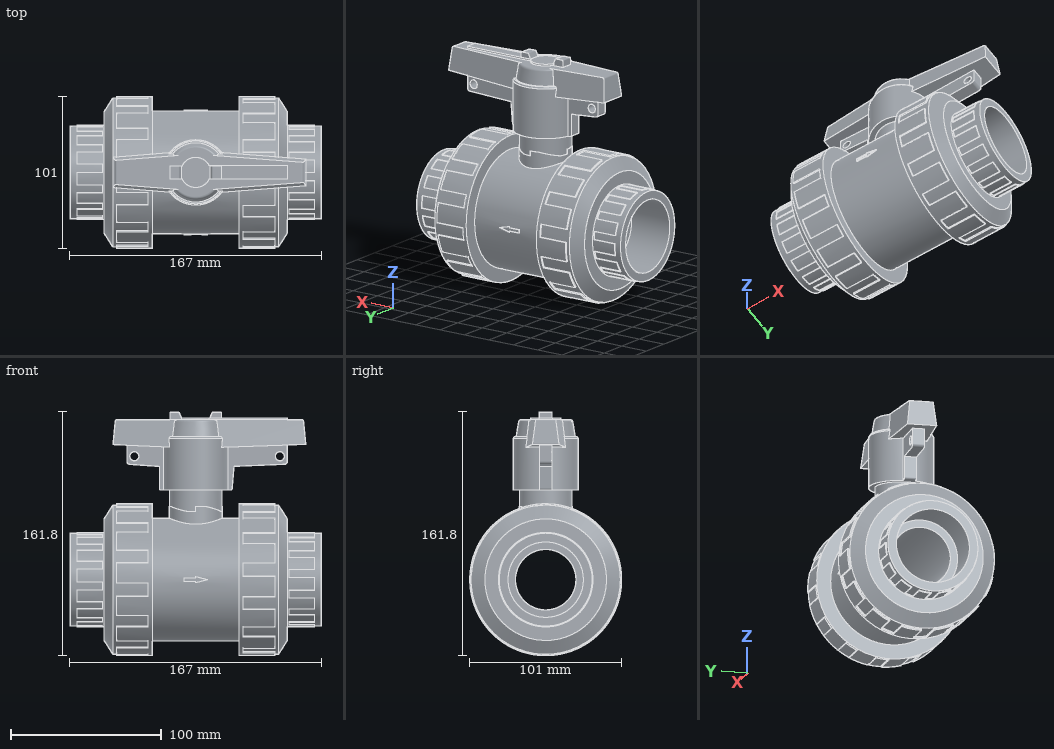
import cadquery as cq
import math


nut_grip_diameter = 101.0
overall_height = 161.8

half_length = 83.5
bore_radius = 20.0
socket_radius = 25.0
socket_depth = 31.0
body_radius = 40.9

nut_inner_x = 28.7
nut_cone_x = 55.1
nut_outer_x = 61.0
nut_radius = 49.6
nut_face_radius = 40.4
nut_grip_radius = nut_grip_diameter / 2
nut_band_end_x = 31.5
nut_tooth_end_x = 52.6

fitting_radius = 30.9
fitting_grip_radius = 31.4
fitting_band_end_x = 62.0
fitting_tooth_end_x = 79.0

tooth_count = 14
tooth_pitch = 360.0 / tooth_count
tooth_angle = 15.6
tooth_phase = 5.2

overlap = 1.7

arrow_height = 0.5
arrow_radius = body_radius + arrow_height
arrow_half_length = 7.8
arrow_shaft_half = 1.2
arrow_head_half = 2.0

stem_radius = 17.5
collar_radius = 17.7
collar_low_z = 45.5
collar_high_z = 48.8
collar_step_count = 4
collar_flat_angle = 20.0

hub_radius = 21.7
hub_bottom_z = 59.5
hub_top_z = 95.2
hub_chamfer_width = 0.8
hub_chamfer_height = 1.3
hub_shoulder_z = hub_top_z - hub_chamfer_height
cone_bottom_radius = 19.7
cone_top_radius = 17.9
cone_fillet = 1.8

bar_top_z = 106.4
bar_mid_bottom_z = 87.3
bar_left_bottom_z = 89.7
bar_right_bottom_z = 89.8
bar_left_x = -55.0
bar_right_x = 73.1
bar_end_lean = 1.5
bar_end_overhang = 0.3
bar_corner_radius = 1.3
bar_bottom_half_mid = 14.5
bar_bottom_half_left = 10.4
bar_bottom_half_right = 9.2
bar_top_half_mid = 12.2
bar_top_half_left = 8.0
bar_top_half_right = 6.7

raised_height = 1.2
disc_radius = 10.0
strip_end_x = 61.0
strip_half_width = 4.5
stop_top_z = overall_height - nut_grip_radius
stop_outer_x = 17.2
stop_top_inner_x = 11.0
stop_foot_inner_x = 9.4
stop_half_width = 4.3
stop_corner_radius = 0.8

fin_half_width = 4.2
fin_left_x = -45.8
fin_right_x = 61.0
fin_end_z = 76.7
fin_root_z = 75.2
fin_corner_radius = 2.0
skirt_half_length = 24.2
skirt_right_lean = 1.3
skirt_corner_radius = 1.3
pin_hole_diameter = 5.8
pin_hole_z = 82.0
pin_hole_inset = 5.0


def x_cylinder(radius, x_start, x_end):
    """Cylinder about the X axis between two X positions."""
    return cq.Workplane("YZ").workplane(offset=x_start).circle(radius).extrude(x_end - x_start)


def z_cylinder(radius, z_start, z_end):
    """Cylinder about the Z axis between two heights."""
    return cq.Workplane("XY").workplane(offset=z_start).circle(radius).extrude(z_end - z_start)


def plate_y(points, half_width):
    """Plate with an XZ outline, centred on y = 0."""
    return cq.Workplane("XZ").polyline(points).close().extrude(half_width, both=True)


def grip_teeth(inner_radius, outer_radius, x_start, x_end):
    """Ring of raised teeth around the X axis."""
    wedge_depth = outer_radius + overlap
    wedge_half_width = wedge_depth * math.tan(math.radians(tooth_angle / 2))
    wedge = (
        cq.Workplane("YZ")
        .workplane(offset=x_start)
        .polyline([(0, 0), (-wedge_depth, -wedge_half_width), (-wedge_depth, wedge_half_width)])
        .close()
        .extrude(x_end - x_start)
    )
    wedges = cq.Workplane("XY")
    for index in range(tooth_count):
        angle = tooth_phase + index * tooth_pitch
        wedges = wedges.add(wedge.rotate((0, 0, 0), (1, 0, 0), angle))
    ring = x_cylinder(outer_radius, x_start, x_end).cut(x_cylinder(inner_radius, x_start, x_end))
    return ring.intersect(wedges.combine())


def make_right_end():
    """Nut and end fitting on the +X side."""
    nut_outline = [
        (nut_inner_x, 0),
        (nut_inner_x, nut_radius),
        (nut_cone_x, nut_radius),
        (nut_outer_x, nut_face_radius),
        (nut_outer_x, 0),
    ]
    end = cq.Workplane("XY").polyline(nut_outline).close().revolve(360, (0, 0, 0), (1, 0, 0))
    end = end.union(x_cylinder(nut_grip_radius, nut_inner_x, nut_band_end_x))
    end = end.union(grip_teeth(nut_radius - overlap, nut_grip_radius, nut_inner_x, nut_tooth_end_x))
    end = end.union(x_cylinder(fitting_radius, nut_cone_x, half_length))
    end = end.union(x_cylinder(fitting_grip_radius, nut_cone_x, fitting_band_end_x))
    fitting_teeth = grip_teeth(
        fitting_radius - overlap, fitting_grip_radius, nut_cone_x, fitting_tooth_end_x
    )
    return end.union(fitting_teeth)


def make_arrows():
    """Flow arrow standing just proud of the body, pointing to +X on both sides."""
    head = [(0, -arrow_head_half), (arrow_half_length, 0), (0, arrow_head_half)]
    shaft = [
        (0, arrow_shaft_half),
        (-arrow_half_length, arrow_shaft_half),
        (-arrow_half_length, -arrow_shaft_half),
        (0, -arrow_shaft_half),
    ]
    prism = plate_y(head + shaft, arrow_radius + overlap)
    return prism.intersect(x_cylinder(arrow_radius, -arrow_half_length, arrow_half_length))


def make_stem():
    """Stem and the foot collar, whose rim steps up and ramps down once per quarter turn."""
    sector = 360.0 / collar_step_count
    edge = collar_radius * math.sin(math.radians(sector / 2))
    flat_edge = collar_radius * math.sin(math.radians(sector / 2 - collar_flat_angle))
    reach = 2 * edge
    rim = [
        (-edge, 0),
        (-edge, collar_high_z),
        (-flat_edge, collar_high_z),
        (flat_edge, collar_low_z),
        (edge, collar_low_z),
        (edge, 0),
    ]
    wedge_plan = [(0, 0), (-edge, -edge), (-edge, -reach), (edge, -reach), (edge, -edge)]
    wedge = cq.Workplane("XY").polyline(wedge_plan).close().extrude(collar_high_z)
    wedge = wedge.intersect(cq.Workplane("XZ").polyline(rim).close().extrude(reach))
    wedge = wedge.intersect(z_cylinder(collar_radius, 0, collar_high_z))
    stem = z_cylinder(stem_radius, 0, hub_top_z)
    for index in range(collar_step_count):
        stem = stem.union(wedge.rotate((0, 0, 0), (0, 0, 1), sector * (index + 0.5)))
    return stem


def make_hub():
    """Cylindrical hub with a chamfered shoulder and a tapered cap."""
    outline = [
        (0, hub_bottom_z),
        (hub_radius, hub_bottom_z),
        (hub_radius, hub_shoulder_z),
        (hub_radius - hub_chamfer_width, hub_top_z),
        (cone_bottom_radius, hub_top_z),
        (cone_top_radius, bar_top_z),
        (0, bar_top_z),
    ]
    hub = cq.Workplane("XZ").polyline(outline).close().revolve(360, (0, 0, 0), (0, 1, 0))
    return hub.faces(">Z").edges().fillet(cone_fillet)


def bar_plan(left_x, right_x, half_left, half_mid, half_right):
    """Six-sided plan of the handle bar, widest at the hub."""
    return [
        (left_x, -half_left),
        (0, -half_mid),
        (right_x, -half_right),
        (right_x, half_right),
        (0, half_mid),
        (left_x, half_left),
    ]


def make_bar():
    """Tapered handle bar with rounded top ends and an underside rising outwards."""
    bottom_plan = bar_plan(
        bar_left_x - bar_end_overhang,
        bar_right_x + bar_end_overhang,
        bar_bottom_half_left,
        bar_bottom_half_mid,
        bar_bottom_half_right,
    )
    top_plan = bar_plan(
        bar_left_x + bar_end_lean,
        bar_right_x - bar_end_lean,
        bar_top_half_left,
        bar_top_half_mid,
        bar_top_half_right,
    )
    bar = (
        cq.Workplane("XY")
        .workplane(offset=bar_mid_bottom_z)
        .polyline(bottom_plan)
        .close()
        .workplane(offset=bar_top_z - bar_mid_bottom_z)
        .polyline(top_plan)
        .close()
        .loft(ruled=True)
    )
    for end in (">X", "<X"):
        bar = bar.faces(">Z").edges(end).fillet(bar_corner_radius)
    side_outline = [
        (bar_left_x, bar_top_z),
        (bar_left_x, bar_left_bottom_z),
        (0, bar_mid_bottom_z),
        (bar_right_x, bar_right_bottom_z),
        (bar_right_x, bar_top_z),
    ]
    return bar.intersect(plate_y(side_outline, 2 * bar_bottom_half_mid))


def make_top_marks():
    """Raised disc and strip, and the two stops beside the disc."""
    raised_z = bar_top_z + raised_height
    marks = z_cylinder(disc_radius, hub_top_z, raised_z)
    strip = [(0, bar_top_z), (strip_end_x, bar_top_z), (strip_end_x, raised_z), (0, raised_z)]
    marks = marks.union(plate_y(strip, strip_half_width))
    stop_outline = [
        (stop_foot_inner_x, bar_top_z),
        (stop_foot_inner_x, raised_z),
        (stop_top_inner_x, stop_top_z),
        (stop_outer_x, stop_top_z),
        (stop_outer_x, bar_top_z),
    ]
    stop = plate_y(stop_outline, stop_half_width).faces(">Z").edges("|Y").fillet(stop_corner_radius)
    return marks.union(stop).union(stop.mirror("YZ"))


def make_fins():
    """Fins under the bar with padlock holes, and the deeper skirt next to the hub."""
    fin_outline = [
        (fin_left_x, hub_shoulder_z),
        (fin_left_x, fin_end_z),
        (-skirt_half_length, fin_root_z),
        (skirt_half_length, fin_root_z),
        (fin_right_x, fin_end_z),
        (fin_right_x, hub_shoulder_z),
    ]
    fins = plate_y(fin_outline, fin_half_width)
    fins = fins.edges("|Y").edges("<X or >X").edges("<Z").fillet(fin_corner_radius)
    skirt_outline = [
        (-skirt_half_length, fin_root_z),
        (-skirt_half_length, hub_bottom_z),
        (skirt_half_length, hub_bottom_z),
        (skirt_half_length + skirt_right_lean, fin_root_z),
        (skirt_half_length + skirt_right_lean, hub_shoulder_z),
        (-skirt_half_length, hub_shoulder_z),
    ]
    skirt = plate_y(skirt_outline, fin_half_width)
    skirt = skirt.faces("<Z").edges("|Y").fillet(skirt_corner_radius)
    holes = (
        cq.Workplane("XZ")
        .pushPoints([(fin_left_x + pin_hole_inset, pin_hole_z), (fin_right_x - pin_hole_inset, pin_hole_z)])
        .circle(pin_hole_diameter / 2)
        .extrude(2 * fin_half_width, both=True)
    )
    return fins.union(skirt).cut(holes)


def make_bore():
    """Through bore with a wider socket at each end."""
    bore = x_cylinder(bore_radius, -half_length, half_length)
    bore = bore.union(x_cylinder(socket_radius, half_length - socket_depth, half_length))
    return bore.union(x_cylinder(socket_radius, -half_length, socket_depth - half_length))


right_end = make_right_end()
valve = x_cylinder(body_radius, -nut_cone_x, nut_cone_x)
valve = valve.union(right_end).union(right_end.rotate((0, 0, 0), (0, 0, 1), 180))
valve = valve.union(make_arrows()).union(make_stem())
handle = make_hub().union(make_bar()).union(make_fins()).union(make_top_marks())
result = valve.union(handle).cut(make_bore())